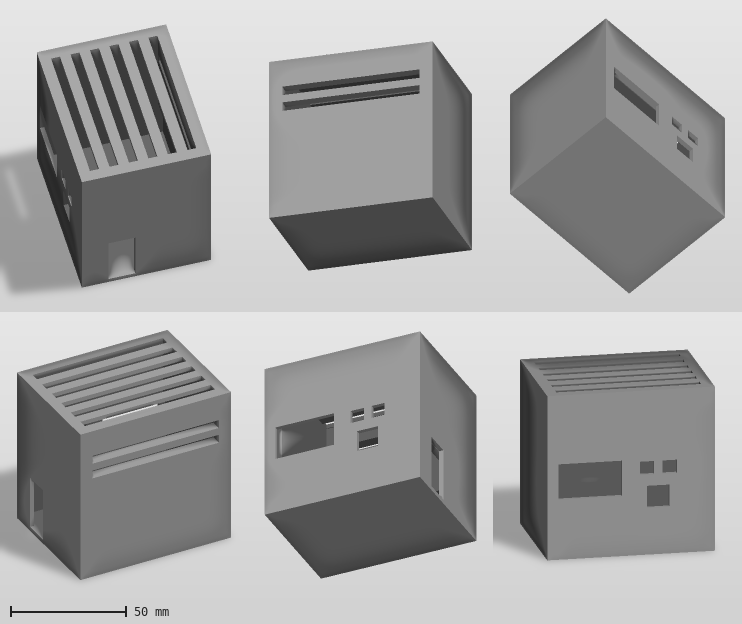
import cadquery as cq

LENGTH = 74.0
DEPTH = 58.0
HEIGHT = 74.0

BASE_WALL = 2.0
LID_WALL = 5.0
ROOF = 2.0
SPLIT_FRONT_Z = 52.0
SPLIT_REAR_Z = 32.0
SPLIT_STEP_Y = 12.0
LIP_DROP = 5.2

DISPLAY = (5.0, 27.0, 28.0, 16.0)
LEFT_BUTTON = (41.0, 36.05, 6.2, 6.0)
RIGHT_BUTTON = (51.0, 36.05, 6.2, 6.0)
CONNECTOR = (44.0, 21.0, 10.0, 10.0)

SIDE_OPENING_END_Y = 24.0
SIDE_OPENING_HEIGHT = 25.0

ROOF_SLOT_COUNT = 6
ROOF_SLOT_PITCH = 8.7
SLOT_WIDTH = 4.0
REAR_SLOT_INSET = 6.0
REAR_SLOT_TOP_Z = 61.5
REAR_SLOT_PITCH = 7.5
REAR_SLOT_COUNT = 2


def box(x_start, x_end, y_start, y_end, z_start, z_end):
    """Return a box between the given limits."""
    size = (x_end - x_start, y_end - y_start, z_end - z_start)
    return cq.Workplane("XY").box(*size, centered=False).translate((x_start, y_start, z_start))


def inset_box(inset, z_start, z_end):
    """Return a box set in by the same amount from all four outer sides."""
    return box(inset, LENGTH - inset, inset, DEPTH - inset, z_start, z_end)


def stepped_zone(drop):
    """Return the space above the stepped split, with the split moved toward the base by drop."""
    step_y = SPLIT_STEP_Y - drop
    front = box(0, LENGTH, 0, step_y, SPLIT_FRONT_Z - drop, HEIGHT)
    rear = box(0, LENGTH, step_y, DEPTH, SPLIT_REAR_Z - drop, HEIGHT)
    return front.union(rear)


def make_base():
    """Open tray with a tall front panel for the display, buttons and connector."""
    base = inset_box(0, 0, HEIGHT).cut(stepped_zone(0))
    base = base.cut(inset_box(BASE_WALL, BASE_WALL, HEIGHT))
    for x, z, width, height in (DISPLAY, LEFT_BUTTON, RIGHT_BUTTON, CONNECTOR):
        base = base.cut(box(x, x + width, 0, BASE_WALL, z, z + height))
    side_opening = box(
        LENGTH - BASE_WALL, LENGTH,
        SPLIT_STEP_Y, SIDE_OPENING_END_Y,
        BASE_WALL, BASE_WALL + SIDE_OPENING_HEIGHT,
    )
    return base.cut(side_opening)


def cut_roof_slots(lid):
    """Cut long slots through the roof, starting flush with the front lid wall."""
    for index in range(ROOF_SLOT_COUNT):
        y = LID_WALL + index * ROOF_SLOT_PITCH
        slot = box(LID_WALL, LENGTH - LID_WALL, y, y + SLOT_WIDTH, HEIGHT - ROOF, HEIGHT)
        lid = lid.cut(slot)
    return lid


def cut_rear_slots(lid):
    """Cut horizontal slots through the rear wall."""
    for index in range(REAR_SLOT_COUNT):
        top = REAR_SLOT_TOP_Z - index * REAR_SLOT_PITCH
        slot = box(
            REAR_SLOT_INSET, LENGTH - REAR_SLOT_INSET,
            DEPTH - LID_WALL, DEPTH,
            top - SLOT_WIDTH, top,
        )
        lid = lid.cut(slot)
    return lid


def make_lid():
    """Vented cover whose thicker walls reach inside the base as a lip."""
    lip = stepped_zone(LIP_DROP).intersect(inset_box(BASE_WALL, 0, HEIGHT))
    lid = stepped_zone(0).union(lip)
    lid = lid.cut(inset_box(LID_WALL, 0, HEIGHT - ROOF))
    return cut_rear_slots(cut_roof_slots(lid))


base = make_base()
lid = make_lid()
result = cq.Compound.makeCompound([base.val(), lid.val()])